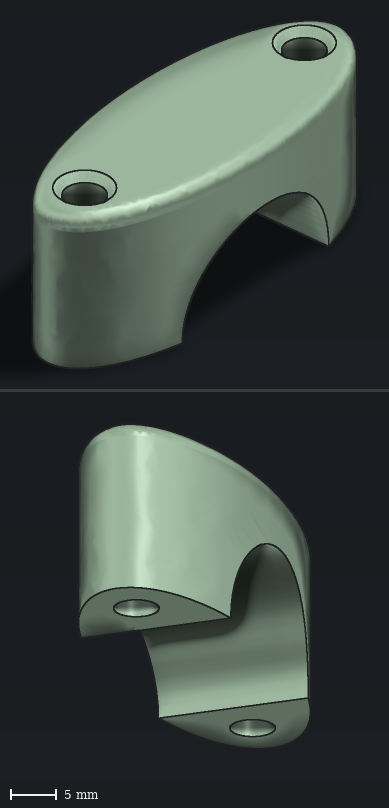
import cadquery as cq

width = 20.25
length = 50.0
height = 20.0
edge_radius = 2.0

arch_diameter = length / 2

hole_spacing = 37.5
hole_diameter = 5.0
countersink_diameter = 7.0
countersink_angle = 90.0


def make_body():
    """Elliptical block with a rounded top edge."""
    block = cq.Workplane("XY").ellipse(width / 2, length / 2).extrude(height)
    return block.faces(">Z").edges().fillet(edge_radius)


def cut_arch(body):
    """Open the underside with a cylinder centred on the base plane."""
    arch = cq.Workplane("YZ", origin=(-width / 2, 0, 0)).circle(arch_diameter / 2).extrude(width)
    return body.cut(arch)


def cut_screw_holes(body):
    """Drill a countersunk hole down through each leg."""
    return (
        body.faces(">Z")
        .workplane(origin=(0, 0, height))
        .pushPoints([(0, -hole_spacing / 2), (0, hole_spacing / 2)])
        .cskHole(hole_diameter, countersink_diameter, countersink_angle)
    )


result = cut_screw_holes(cut_arch(make_body()))